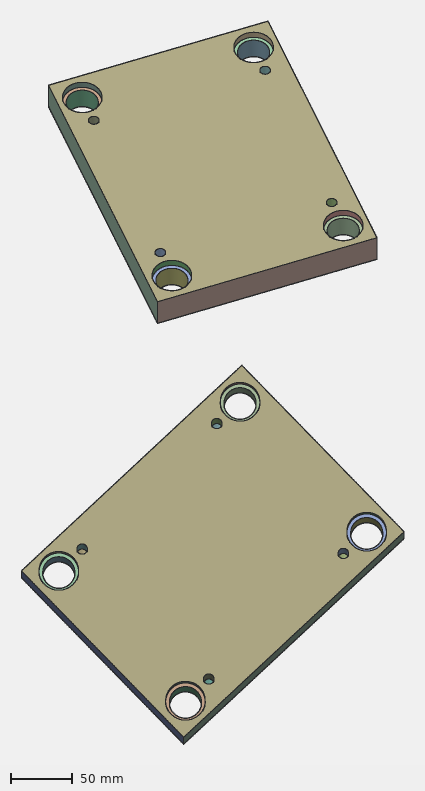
import cadquery as cq
import math

PLATE_LENGTH = 245.7
PLATE_WIDTH = 189.7
PLATE_THICKNESS = 27.0

BORE_DIAMETER = 26.0
COUNTERBORE_DIAMETER = 32.0
COUNTERBORE_DEPTH = 6.3
BORE_SPACING_X = 202.0
BORE_SPACING_Y = 148.0

DRILL_DIAMETER = 8.5
DRILL_DEPTH = 20.0
DRILL_POINT_ANGLE = 118.0
DRILL_SPACING_X = 150.0
DRILL_SPACING_Y = BORE_SPACING_Y


def make_plate():
    """Plain rectangular plate, centred on the origin in X and Y, bottom at Z = 0."""
    return cq.Workplane("XY").box(
        PLATE_LENGTH, PLATE_WIDTH, PLATE_THICKNESS, centered=(True, True, False)
    )


def top_pattern(body, spacing_x, spacing_y):
    """Points of a centred 2 x 2 hole pattern on the top face."""
    return body.faces(">Z").workplane(origin=(0, 0, PLATE_THICKNESS)).rarray(spacing_x, spacing_y, 2, 2)


def drill_tool():
    """Drill shape with a conical point, its mouth at the local origin, pointing down."""
    radius = DRILL_DIAMETER / 2
    point_length = radius / math.tan(math.radians(DRILL_POINT_ANGLE / 2))
    return (
        cq.Workplane("XZ")
        .moveTo(0, 0)
        .lineTo(radius, 0)
        .lineTo(radius, -DRILL_DEPTH)
        .lineTo(0, -DRILL_DEPTH - point_length)
        .close()
        .revolve(360, (0, 0, 0), (0, 1, 0))
        .val()
    )


def cut_corner_holes(body):
    """Cut the counterbored holes through the plate."""
    pattern = top_pattern(body, BORE_SPACING_X, BORE_SPACING_Y)
    return pattern.cboreHole(BORE_DIAMETER, COUNTERBORE_DIAMETER, COUNTERBORE_DEPTH)


def cut_drilled_holes(body):
    """Cut the blind drilled holes from the top face."""
    tool = drill_tool()
    pattern = top_pattern(body, DRILL_SPACING_X, DRILL_SPACING_Y)
    return pattern.cutEach(lambda location: tool.moved(location))


result = cut_drilled_holes(cut_corner_holes(make_plate()))